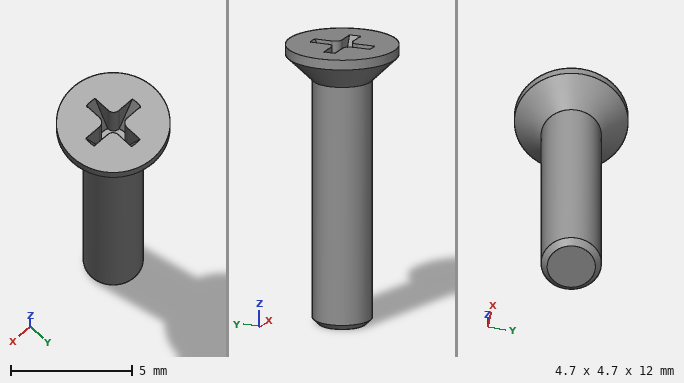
import cadquery as cq
import math

total_length = 12.0
head_radius = 4.7 / 2
shank_radius = 2.5 / 2
rim_height = 0.42
head_height = 1.5
tip_chamfer = 0.25

recess_top_radius = 1.35
recess_floor_radius = 0.62
recess_wall_angle = 24.5
wing_width = 0.49
inner_corner_radius = 0.31
recess_inset = recess_top_radius - recess_floor_radius
recess_depth = recess_inset / math.tan(math.radians(recess_wall_angle))


def screw_body():
    """Revolve the half profile of head and shank about the Z axis."""
    return (
        cq.Workplane("XZ")
        .polyline([
            (0, 0),
            (shank_radius - tip_chamfer, 0),
            (shank_radius, tip_chamfer),
            (shank_radius, total_length - head_height),
            (head_radius, total_length - rim_height),
            (head_radius, total_length),
            (0, total_length),
        ])
        .close()
        .revolve(360, (0, 0, 0), (0, 1, 0))
    )


def cross_recess():
    """Cross with rounded inner corners, its wing ends tapered by a cone."""
    floor_z = total_length - recess_depth
    floor = cq.Workplane("XY").workplane(offset=floor_z)
    wing_length = 2 * recess_top_radius
    wing_x = floor.rect(wing_length, wing_width).extrude(recess_depth)
    wing_y = floor.rect(wing_width, wing_length).extrude(recess_depth)
    cross = wing_x.union(wing_y)
    inner_corners = cq.selectors.BoxSelector(
        (-wing_width, -wing_width, floor_z),
        (wing_width, wing_width, total_length),
    )
    cross = cross.edges("|Z").edges(inner_corners).fillet(inner_corner_radius)
    taper = (
        cq.Workplane("XZ")
        .polyline([
            (0, floor_z),
            (recess_floor_radius, floor_z),
            (recess_top_radius, total_length),
            (0, total_length),
        ])
        .close()
        .revolve(360, (0, 0, 0), (0, 1, 0))
    )
    return cross.intersect(taper)


result = screw_body().cut(cross_recess())